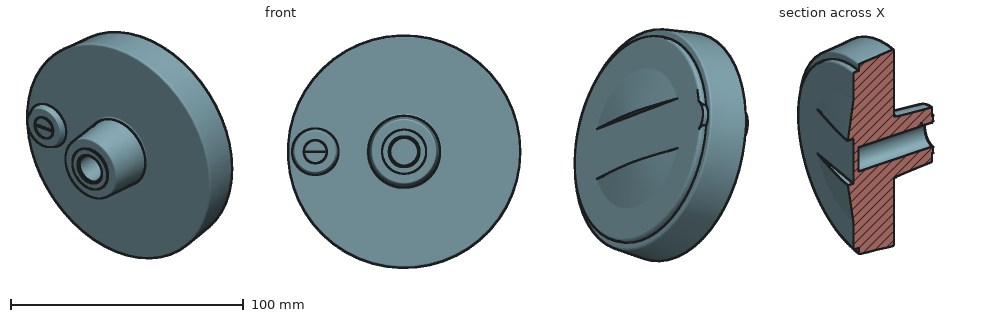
import cadquery as cq


disc_front_radius = 50.0
disc_back_radius = 48.3
disc_depth = 18.1
disc_edge_fillet = 0.9

cap_radius = 45.0
cap_back = 20.9
cap_edge_fillet = 1.3
tab_radius = 8.1

wing_outer_radius = 30.5
wing_height = 2.8
channel_half_width = 11.2

hub_base_radius = 15.5
hub_end_radius = 14.0
hub_length = 19.4
hub_root_fillet = 0.9
hub_edge_fillet = 0.7
bushing_diameter = 19.0
bushing_length = 20.0
bore_diameter = 12.0
bore_mouth_diameter = 13.3
bore_chamfer = (bore_mouth_diameter - bore_diameter) / 2

grip_x = -38.1
grip_base_radius = 10.0
grip_end_radius = 8.9
grip_length = 2.9
grip_edge_fillet = 0.3
screw_diameter = 10.0
screw_ring_width = 0.1
screw_ring_depth = 0.2
screw_slot_width = 0.4
screw_slot_depth = 0.6


def cylinder(radius, start_y, end_y, x=0.0):
    """Cylinder along Y between two Y positions."""
    base = cq.Workplane("XZ", origin=(x, start_y, 0))
    return base.circle(radius).extrude(start_y - end_y)


def cone(start_radius, end_radius, start_y, end_y, x=0.0):
    """Truncated cone along Y between two Y positions."""
    outline = [(0, start_y), (start_radius, start_y), (end_radius, end_y), (0, end_y)]
    profile = cq.Workplane("XY").polyline(outline).close()
    return profile.revolve(360, (0, 0), (0, 1)).translate((x, 0, 0))


def make_disc():
    disc = cone(disc_front_radius, disc_back_radius, 0, disc_depth)
    return disc.edges().fillet(disc_edge_fillet)


def make_cap():
    cap = cylinder(cap_radius, 0, cap_back).faces(">Y").edges().fillet(cap_edge_fillet)
    tab = cylinder(tab_radius, 0, cap_back, grip_x)
    return cap.union(tab)


def make_wings():
    raised_cone = cone(wing_outer_radius, channel_half_width, cap_back, cap_back + wing_height)
    channel = cq.Workplane("XY", origin=(0, cap_back, 0)).box(
        2 * cap_radius, 2 * wing_height, 2 * channel_half_width, centered=(True, False, True)
    )
    return raised_cone.cut(channel)


def make_hub():
    hub = cone(hub_base_radius, hub_end_radius, 0, -hub_length)
    return hub.faces("<Y").edges().fillet(hub_edge_fillet)


def make_hub_root():
    """Concave ring that blends the hub into the disc."""
    outer_radius = hub_base_radius + hub_root_fillet
    middle = hub_root_fillet * (1 - 0.5**0.5)
    profile = (
        cq.Workplane("XY")
        .lineTo(outer_radius, 0)
        .threePointArc((hub_base_radius + middle, -middle), (hub_base_radius, -hub_root_fillet))
        .lineTo(0, -hub_root_fillet)
        .close()
    )
    return profile.revolve(360, (0, 0), (0, 1))


def make_bore():
    bore = cylinder(bore_diameter / 2, -bushing_length, disc_depth)
    mouth = cone(
        bore_mouth_diameter / 2, bore_diameter / 2, -bushing_length, bore_chamfer - bushing_length
    )
    return bore.union(mouth)


def make_grip_end():
    grip = cone(grip_base_radius, grip_end_radius, 0, -grip_length, grip_x)
    return grip.faces("<Y").edges().fillet(grip_edge_fillet)


def make_screw_grooves():
    """Ring around the screw head and its driver slot."""
    screw_radius = screw_diameter / 2
    ring_bottom = screw_ring_depth - grip_length
    ring = cylinder(screw_radius, -grip_length, ring_bottom, grip_x).cut(
        cylinder(screw_radius - screw_ring_width, -grip_length, ring_bottom, grip_x)
    )
    slot = cq.Workplane("XY", origin=(grip_x, -grip_length, 0)).box(
        screw_diameter, screw_slot_depth, screw_slot_width, centered=(True, False, True)
    )
    return ring.union(slot)


bushing = cylinder(bushing_diameter / 2, 0, -bushing_length)
body = make_disc().union(make_cap()).union(make_wings())
body = body.union(make_hub()).union(make_hub_root()).union(bushing).union(make_grip_end())
result = body.cut(make_bore()).cut(make_screw_grooves())